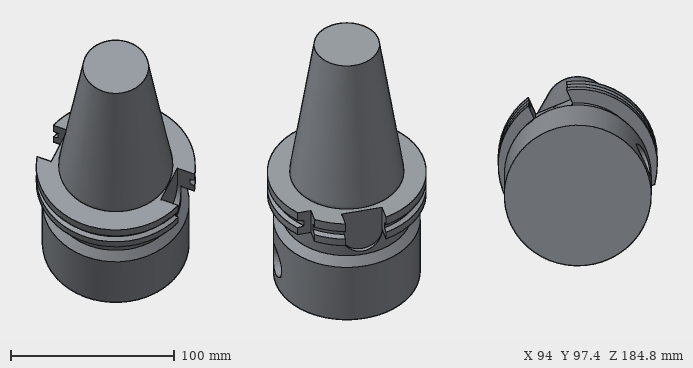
import cadquery as cq

total_height = 184.8
body_top = 42.7
neck_bottom = 47.9
flange_bottom = 63.5
flange_top = 81.3
taper_bottom = 83.0

body_diameter = 90.0
neck_diameter = 80.0
flange_diameter = 97.4
gauge_diameter = 69.8
taper_rate = 7 / 24
taper_top_diameter = gauge_diameter - taper_rate * (total_height - taper_bottom)

groove_diameter = 91.3
groove_floor_bottom = 70.0
groove_floor_top = 73.9
groove_flank_height = 1.1

slot_width = 25.5
slot_center_height = 63.4
left_slot_floor = 37.5
right_slot_floor = 35.5

notch_x = 29.7
notch_y = 30.1

screw_hole_diameter = 21.0
screw_hole_height = 18.5
screw_hole_depth = 22.0


def turned_body():
    """Revolve the half profile about the Z axis."""
    sections = [
        (body_diameter, 0),
        (body_diameter, body_top),
        (neck_diameter, neck_bottom),
        (neck_diameter, flange_bottom),
        (flange_diameter, flange_bottom),
        (flange_diameter, groove_floor_bottom - groove_flank_height),
        (groove_diameter, groove_floor_bottom),
        (groove_diameter, groove_floor_top),
        (flange_diameter, groove_floor_top + groove_flank_height),
        (flange_diameter, flange_top),
        (gauge_diameter, flange_top),
        (gauge_diameter, taper_bottom),
        (taper_top_diameter, total_height),
    ]
    outline = [(diameter / 2, height) for diameter, height in sections]
    profile = [(0, 0)] + outline + [(0, total_height)]
    return cq.Workplane("XZ").polyline(profile).close().revolve(360, (0, 0), (0, 1))


def drive_slot(side, floor):
    """Round-ended cutter on side -1 (left) or +1 (right), outward of the slot floor."""
    radius = slot_width / 2
    return (
        cq.Workplane("YZ", origin=(side * floor, 0, 0))
        .moveTo(-radius, flange_top)
        .lineTo(-radius, slot_center_height)
        .threePointArc((0, slot_center_height - radius), (radius, slot_center_height))
        .lineTo(radius, flange_top)
        .close()
        .extrude(side * flange_diameter / 2)
    )


def corner_notch():
    """Square-cornered cutter through the full flange thickness."""
    size = flange_diameter / 2
    return (
        cq.Workplane("XY", origin=(-notch_x, notch_y, flange_bottom))
        .rect(-size, size, centered=False)
        .extrude(flange_top - flange_bottom)
    )


def screw_hole():
    """Round cutter entering the body from +Y."""
    surface_y = body_diameter / 2
    return (
        cq.Workplane("XZ", origin=(0, surface_y, screw_hole_height))
        .circle(screw_hole_diameter / 2)
        .extrude(screw_hole_depth)
    )


result = (
    turned_body()
    .cut(drive_slot(-1, left_slot_floor))
    .cut(drive_slot(1, right_slot_floor))
    .cut(corner_notch())
    .cut(screw_hole())
)